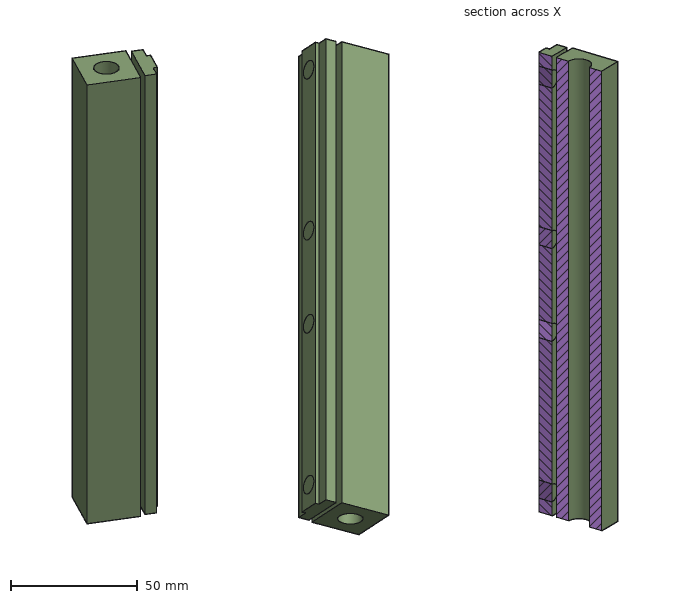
import cadquery as cq

LENGTH = 200.0

BAR_SIDE = 22.0
BORE_DIAMETER = 10.0

STRIP_GAP = 2.0
FLANGE_WIDTH = 20.0
FLANGE_THICKNESS = 4.8
TONGUE_WIDTH = 10.0
TONGUE_HEIGHT = 1.7

PIN_DIAMETER = 7.5
OUTER_PIN_Z = 90.0
INNER_PIN_Z = 20.2

strip_thickness = FLANGE_THICKNESS + TONGUE_HEIGHT
strip_front_y = BAR_SIDE / 2 + STRIP_GAP
shoulder_y = strip_front_y + FLANGE_THICKNESS
strip_back_y = strip_front_y + strip_thickness
pin_heights = [-OUTER_PIN_Z, -INNER_PIN_Z, INNER_PIN_Z, OUTER_PIN_Z]


def make_bar():
    """Square bar with a round bore along its whole length."""
    section = cq.Workplane("XY").rect(BAR_SIDE, BAR_SIDE).circle(BORE_DIAMETER / 2)
    return section.extrude(LENGTH / 2, both=True).solids()


def make_pin(height):
    """Pin along Y, flush with the strip's flat face and with the top of its tongue."""
    end_plane = cq.Plane(origin=(0, strip_front_y, height), xDir=(1, 0, 0), normal=(0, 1, 0))
    return cq.Workplane(end_plane).circle(PIN_DIAMETER / 2).extrude(strip_thickness)


def make_strip(fitted_pins):
    """T-section strip with its tongue toward +Y and a matching hole for each pin."""
    half_section = [
        (0, strip_front_y),
        (FLANGE_WIDTH / 2, strip_front_y),
        (FLANGE_WIDTH / 2, shoulder_y),
        (TONGUE_WIDTH / 2, shoulder_y),
        (TONGUE_WIDTH / 2, strip_back_y),
        (0, strip_back_y),
    ]
    section = cq.Workplane("XY").polyline(half_section).mirrorY()
    body = section.extrude(LENGTH / 2, both=True)
    for pin in fitted_pins:
        body = body.cut(pin)
    return body.solids()


bar = make_bar()
pins = [make_pin(height) for height in pin_heights]
strip = make_strip(pins)

result = cq.Compound.makeCompound([bar.val(), strip.val(), *[pin.val() for pin in pins]])